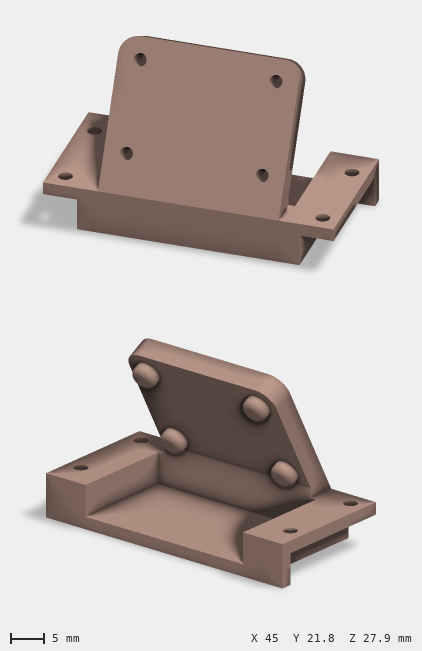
import cadquery as cq
import math

base_width = 45.0
base_depth = 21.8
base_height = 7.0
overall_height = 27.85
flange_thickness = 2.0
notch_width = 5.25
back_leg_thickness = 1.85

pocket_width = 29.95
pocket_floor = 2.0
front_wall = 4.8

mount_diameter = 2.2
mount_edge_distance = 2.55
mount_front_distance = 2.8
hole_spacing = 14.0

plate_width = 28.0
plate_thickness = 3.5
lean = 28.0
plate_corner_radius = 3.0
plate_length = (overall_height - base_height) / math.cos(math.radians(lean))

plate_hole_diameter = 2.0
plate_hole_spacing_x = 21.0
top_hole_distance = 3.4
boss_diameter = 4.0
boss_height = 2.0
boss_rounding = 1.0
boss_end_wall = 1.0


def box(width, depth, height, x, y, z):
    """Box centred on x, starting at y and z."""
    return cq.Workplane("XY").box(width, depth, height, centered=(True, False, False)).translate((x, y, z))


def make_base():
    base = box(base_width, base_depth, base_height, 0, 0, 0)
    notch_depth = base_depth - back_leg_thickness
    notch_height = base_height - flange_thickness
    notch_x = (base_width - notch_width) / 2
    for side in (-1, 1):
        base = base.cut(box(notch_width, notch_depth, notch_height, side * notch_x, 0, 0))
    pocket = box(
        pocket_width, base_depth - front_wall, base_height - pocket_floor, 0, front_wall, pocket_floor
    )
    base = base.cut(pocket)
    mounts = (
        cq.Workplane("XY")
        .center(0, mount_front_distance + hole_spacing / 2)
        .rect(base_width - 2 * mount_edge_distance, hole_spacing, forConstruction=True)
        .vertices()
        .circle(mount_diameter / 2)
        .extrude(base_height)
    )
    return base.cut(mounts)


def plate_plane():
    """Front face of the plate: local y runs up the slope, the normal points forward and up."""
    angle = math.radians(lean)
    return cq.Plane(
        origin=(0, 0, base_height), xDir=(1, 0, 0), normal=(0, -math.cos(angle), math.sin(angle))
    )


def make_plate():
    """Leaning slab, drawn symmetric about its foot line and kept only above the base."""
    plate = (
        cq.Workplane(plate_plane())
        .rect(plate_width, 2 * plate_length)
        .extrude(-plate_thickness)
        .edges(cq.selectors.ParallelDirSelector(plate_plane().zDir))
        .fillet(plate_corner_radius)
    )
    above_base = box(plate_width, base_depth, overall_height, 0, 0, base_height)
    return plate.intersect(above_base)


def make_foot():
    """Wedge that carries the vertical back of the plate down to the pocket edge."""
    angle = math.radians(lean)
    back_at_base = plate_thickness / math.cos(angle)
    meeting_height = (front_wall - back_at_base) / math.tan(angle)
    return (
        cq.Workplane("YZ")
        .moveTo(0, base_height)
        .lineTo(front_wall, base_height)
        .lineTo(front_wall, base_height + meeting_height)
        .lineTo(meeting_height * math.tan(angle), base_height + meeting_height)
        .close()
        .extrude(plate_width / 2, both=True)
    )


def plate_hole_layout(offset):
    """Workplane at the four hole centres, offset along the plate normal."""
    return (
        cq.Workplane(plate_plane())
        .workplane(offset=offset)
        .center(0, plate_length - top_hole_distance - hole_spacing / 2)
        .rect(plate_hole_spacing_x, hole_spacing, forConstruction=True)
        .vertices()
    )


bosses = (
    plate_hole_layout(-plate_thickness)
    .circle(boss_diameter / 2)
    .extrude(-boss_height)
    .faces(cq.selectors.DirectionMinMaxSelector(plate_plane().zDir, False))
    .edges()
    .fillet(boss_rounding)
)
plate_hole_depth = plate_thickness + boss_height - boss_end_wall
plate_holes = plate_hole_layout(0).circle(plate_hole_diameter / 2).extrude(-plate_hole_depth)

result = make_base().union(make_foot()).union(make_plate()).union(bosses).cut(plate_holes)